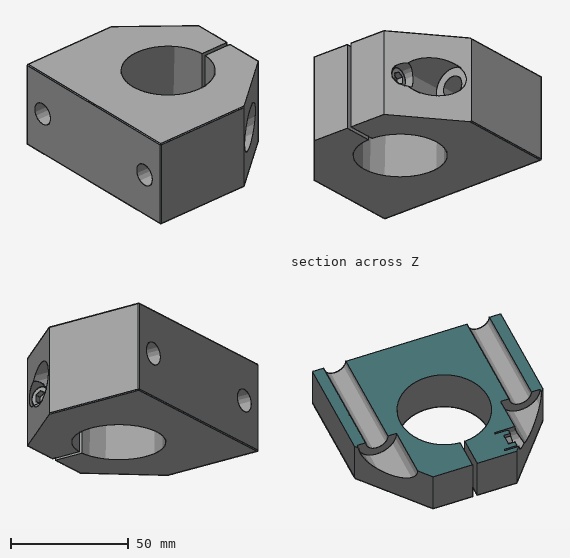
import cadquery as cq

WIDTH = 87.0
DEPTH = 76.0
HEIGHT = 40.0
SHOULDER_Y = 46.9
TOP_FLAT_WIDTH = 38.6
EDGE_CHAMFER = 0.4

BORE_DIAMETER = 40.0
BORE_Y = 42.0
SLOT_WIDTH = 2.0

MOUNT_SPACING = 66.1
MOUNT_DIAMETER = 10.1
MOUNT_COUNTERBORE_DIAMETER = 18.0
MOUNT_SEAT_Y = SHOULDER_Y

SCREW_Y = 68.0
SCREW_POCKET_DIAMETER = 11.0
SCREW_POCKET_FLOOR_X = -14.8
SCREW_HEAD_DIAMETER = 10.0
SCREW_HEAD_LENGTH = 6.0
SCREW_HEAD_CHAMFER = 0.5
SOCKET_ACROSS_FLATS = 5.05
SOCKET_DEPTH = 3.0


def make_block():
    half_width = WIDTH / 2
    half_flat = TOP_FLAT_WIDTH / 2
    outline = [
        (-half_width, 0),
        (half_width, 0),
        (half_width, SHOULDER_Y),
        (half_flat, DEPTH),
        (-half_flat, DEPTH),
        (-half_width, SHOULDER_Y),
    ]
    block = cq.Workplane("XY").polyline(outline).close().extrude(HEIGHT / 2, both=True)
    front_edges = block.faces("<Y").edges()
    side_edges = block.faces("<X or >X").edges("|Y")
    return block.newObject(front_edges.vals() + side_edges.vals()).chamfer(EDGE_CHAMFER)


def cylinder_along_x(diameter, start_x, length):
    plane = cq.Plane(origin=(start_x, SCREW_Y, 0), xDir=(0, 1, 0), normal=(1, 0, 0))
    return cq.Workplane(plane).circle(diameter / 2).extrude(length)


def cylinder_along_y(diameter, x, start_y):
    plane = cq.Plane(origin=(x, start_y, 0), xDir=(1, 0, 0), normal=(0, 1, 0))
    return cq.Workplane(plane).circle(diameter / 2).extrude(DEPTH)


def cut_bore_and_slot(body):
    bore = cq.Workplane("XY").center(0, BORE_Y).circle(BORE_DIAMETER / 2).extrude(HEIGHT, both=True)
    slot = cq.Workplane("XY").box(SLOT_WIDTH, DEPTH, 2 * HEIGHT).translate((0, BORE_Y + DEPTH / 2, 0))
    return body.cut(bore).cut(slot)


def cut_mounting_holes(body):
    for x in (-MOUNT_SPACING / 2, MOUNT_SPACING / 2):
        body = body.cut(cylinder_along_y(MOUNT_DIAMETER, x, 0))
        body = body.cut(cylinder_along_y(MOUNT_COUNTERBORE_DIAMETER, x, MOUNT_SEAT_Y))
    return body


def make_screw_head():
    outer_x = SCREW_POCKET_FLOOR_X - SCREW_HEAD_LENGTH
    head = cylinder_along_x(SCREW_HEAD_DIAMETER, outer_x, SCREW_HEAD_LENGTH)
    head = head.faces("<X").edges().chamfer(SCREW_HEAD_CHAMFER)
    socket_plane = cq.Plane(origin=(outer_x, SCREW_Y, 0), xDir=(0, 1, 0), normal=(1, 0, 0))
    hexagon = cq.Workplane(socket_plane).polygon(6, SOCKET_ACROSS_FLATS, circumscribed=True)
    socket = hexagon.extrude(SOCKET_DEPTH)
    return head.cut(socket)


def add_clamp_screw(body):
    pocket = cylinder_along_x(SCREW_POCKET_DIAMETER, -WIDTH / 2, SCREW_POCKET_FLOOR_X + WIDTH / 2)
    return body.cut(pocket).union(make_screw_head())


result = add_clamp_screw(cut_mounting_holes(cut_bore_and_slot(make_block())))